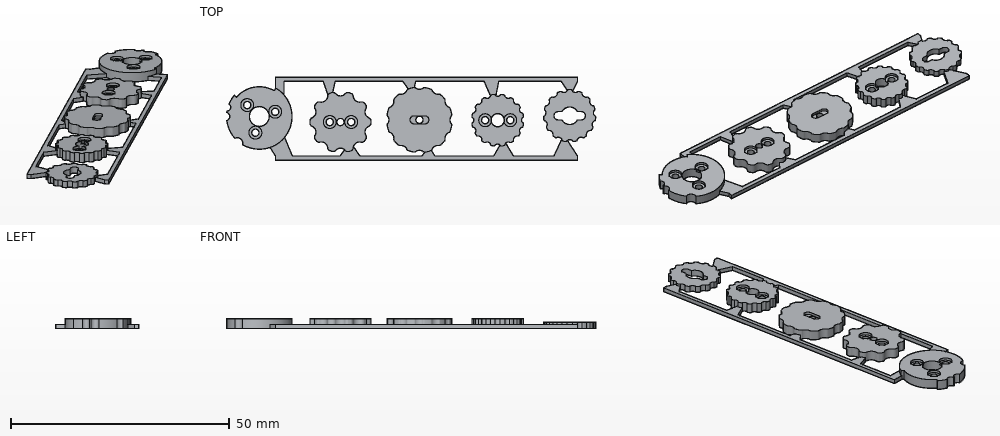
import cadquery as cq
import math

FRAME_THICKNESS = 1.0
WHEEL_THICKNESS = 2.3
THIN_GEAR_THICKNESS = 1.5

FRAME_LENGTH = 69.2
FRAME_WIDTH = 19.1
RAIL_WIDTH = 1.0
FRAME_END = FRAME_LENGTH / 2
RAIL_INNER_Y = FRAME_WIDTH / 2 - RAIL_WIDTH
CORNER_LEG_WIDTH = 2.0
CORNER_LEG_END_Y = 4.65

UPPER_SPRUES = [
    (-23.7, -20.9, -22.65, -21.55, 5.6),
    (-5.4, -2.45, -4.05, -2.9, 6.6),
    (13.2, 16.6, 14.7, 15.9, 5.1),
    (30.85, FRAME_END, 32.4, 33.5, 6.25),
]
LOWER_SPRUES = [
    (-FRAME_END, -30.7, -37.45, -32.5, -4.05),
    (-19.8, -15.2, -18.4, -16.6, -6.6),
    (-1.1, 1.95, 0.25, 1.0, -7.0),
    (15.4, 19.95, 17.1, 18.2, -5.6),
    (29.2, FRAME_END, 31.0, 32.0, -4.6),
]

SCREW_DIAMETER = 1.6
SCREW_HEAD_DIAMETER = 3.0
SCREW_HEAD_DEPTH = 0.6
SLOT_WIDTH = 1.9

DISC_CENTER = (-38.3, 0.5)
DISC_RADIUS = 7.5
DISC_BORE_DIAMETER = 4.5
DISC_SCREW_RADIUS = 3.8
DISC_SCREW_COUNT = 3
DISC_SCREW_START_ANGLE = 16.5
RELIEF_RADIUS = 6.85
RELIEF_START_ANGLE = 60
RELIEF_END_ANGLE = 139.5
DISC_NOTCHES = [(164, 0.85, 7.7), (180, 0.9, 7.7), (230.5, 1.2, 7.9)]

TEN_CENTER = (-19.7, -0.8)
TEN_TEETH = 10
TEN_TIP_RADIUS = 7.0
TEN_ROOT_RADIUS = 6.0
TEN_LAND_SHARE = 0.16
TEN_SCREW_OFFSET = 2.45

TWELVE_CENTER = (-1.6, -0.25)
TWELVE_TEETH = 12
TWELVE_TIP_RADIUS = 7.5
TWELVE_ROOT_RADIUS = 7.0
TWELVE_GAP_SHARE = 0.4
TWELVE_LAND_SHARE = 0.36
TWELVE_SLOT_LENGTH = 4.3
TWELVE_SLOT_DEPTH = 0.6

SIXTEEN_CENTER = (16.3, -0.3)
SIXTEEN_TEETH = 16
SIXTEEN_TIP_RADIUS = 6.0
SIXTEEN_ROOT_RADIUS = 5.5
SIXTEEN_BORE_DIAMETER = 3.0
SIXTEEN_SCREW_OFFSET = 2.9

FIFTEEN_CENTER = (32.8, 0.7)
FIFTEEN_TEETH = 15
FIFTEEN_FIRST_TOOTH = 90
FIFTEEN_TIP_RADIUS = 6.0
FIFTEEN_ROOT_RADIUS = 5.5
FIFTEEN_BORE_DIAMETER = 4.0
FIFTEEN_SLOT_LENGTH = 7.2

EVEN_GAP_SHARE = 0.5
FINE_LAND_SHARE = 0.24
FLANK_BULGE = 0.75


def polar(radius, angle):
    """Point at a radius and an angle in degrees."""
    return (radius * math.cos(math.radians(angle)), radius * math.sin(math.radians(angle)))


def placed(body, center):
    """Move a body from the origin to its place in the frame."""
    return body.translate((center[0], center[1], 0))


def cylinder(diameter, height, x=0.0, y=0.0, bottom=0.0):
    return cq.Workplane("XY").workplane(offset=bottom).center(x, y).circle(diameter / 2).extrude(height)


def cut_screw_hole(body, x, y):
    """Through hole with a counterbore in the top of a full-height wheel."""
    body = body.cut(cylinder(SCREW_DIAMETER, WHEEL_THICKNESS, x, y))
    seat = WHEEL_THICKNESS - SCREW_HEAD_DEPTH
    return body.cut(cylinder(SCREW_HEAD_DIAMETER, SCREW_HEAD_DEPTH, x, y, seat))


def gear(teeth, tip_radius, root_radius, first_tooth, gap_share, land_share, thickness):
    """Gear with hollow round gaps and teeth that have a land between two bulging flanks."""
    pitch = 360 / teeth
    half_tooth = pitch * (1 - gap_share) / 2
    half_land = pitch * land_share / 2
    foot_radius = (tip_radius + root_radius) / 2
    bulge_radius = foot_radius + FLANK_BULGE * (tip_radius - foot_radius)
    bulge_angle = (half_tooth + half_land) / 2
    outline = cq.Workplane("XY").moveTo(*polar(foot_radius, first_tooth - half_tooth))
    for index in range(teeth):
        tooth = first_tooth + index * pitch
        next_foot = polar(foot_radius, tooth + pitch - half_tooth)
        outline = outline.threePointArc(
            polar(bulge_radius, tooth - bulge_angle), polar(tip_radius, tooth - half_land)
        )
        outline = outline.threePointArc(polar(tip_radius, tooth), polar(tip_radius, tooth + half_land))
        outline = outline.threePointArc(
            polar(bulge_radius, tooth + bulge_angle), polar(foot_radius, tooth + half_tooth)
        )
        outline = outline.threePointArc(polar(root_radius, tooth + pitch / 2), next_foot)
    return outline.close().extrude(thickness)


def sprue(base_left, base_right, tip_left, tip_right, tip_y):
    """Tapered web from a rail's inner edge into a wheel."""
    base_y = math.copysign(RAIL_INNER_Y, tip_y)
    corners = [(base_left, base_y), (base_right, base_y), (tip_right, tip_y), (tip_left, tip_y)]
    return cq.Workplane("XY").polyline(corners).close().extrude(FRAME_THICKNESS)


def frame():
    rail_y = (FRAME_WIDTH - RAIL_WIDTH) / 2
    rails = cq.Workplane("XY").pushPoints([(0, rail_y), (0, -rail_y)])
    body = rails.rect(FRAME_LENGTH, RAIL_WIDTH).extrude(FRAME_THICKNESS)
    leg = cq.Workplane("XY").moveTo(-FRAME_END, CORNER_LEG_END_Y)
    leg = leg.lineTo(-FRAME_END + CORNER_LEG_WIDTH, CORNER_LEG_END_Y)
    leg = leg.lineTo(-FRAME_END + CORNER_LEG_WIDTH, RAIL_INNER_Y)
    leg = leg.lineTo(-FRAME_END, RAIL_INNER_Y).close()
    body = body.union(leg.extrude(FRAME_THICKNESS))
    for sizes in UPPER_SPRUES + LOWER_SPRUES:
        body = body.union(sprue(*sizes))
    return body


def notched_disc():
    middle_angle = (RELIEF_START_ANGLE + RELIEF_END_ANGLE) / 2
    outline = cq.Workplane("XY").moveTo(*polar(RELIEF_RADIUS, RELIEF_START_ANGLE))
    outline = outline.threePointArc(
        polar(RELIEF_RADIUS, middle_angle), polar(RELIEF_RADIUS, RELIEF_END_ANGLE)
    )
    outline = outline.lineTo(*polar(DISC_RADIUS, RELIEF_END_ANGLE))
    outline = outline.threePointArc(
        polar(DISC_RADIUS, middle_angle + 180), polar(DISC_RADIUS, RELIEF_START_ANGLE)
    )
    body = outline.close().extrude(WHEEL_THICKNESS)
    for angle, radius, distance in DISC_NOTCHES:
        body = body.cut(cylinder(2 * radius, WHEEL_THICKNESS, *polar(distance, angle)))
    body = body.cut(cylinder(DISC_BORE_DIAMETER, WHEEL_THICKNESS))
    for index in range(DISC_SCREW_COUNT):
        angle = DISC_SCREW_START_ANGLE + index * 360 / DISC_SCREW_COUNT
        body = cut_screw_hole(body, *polar(DISC_SCREW_RADIUS, angle))
    return body


def ten_tooth_gear():
    body = gear(
        teeth=TEN_TEETH,
        tip_radius=TEN_TIP_RADIUS,
        root_radius=TEN_ROOT_RADIUS,
        first_tooth=0,
        gap_share=EVEN_GAP_SHARE,
        land_share=TEN_LAND_SHARE,
        thickness=WHEEL_THICKNESS,
    )
    body = body.cut(cylinder(SCREW_DIAMETER, WHEEL_THICKNESS))
    for x in (-TEN_SCREW_OFFSET, TEN_SCREW_OFFSET):
        body = cut_screw_hole(body, x, 0)
    return body


def twelve_tooth_gear():
    body = gear(
        teeth=TWELVE_TEETH,
        tip_radius=TWELVE_TIP_RADIUS,
        root_radius=TWELVE_ROOT_RADIUS,
        first_tooth=360 / TWELVE_TEETH / 2,
        gap_share=TWELVE_GAP_SHARE,
        land_share=TWELVE_LAND_SHARE,
        thickness=WHEEL_THICKNESS,
    )
    body = body.cut(cylinder(SCREW_DIAMETER, WHEEL_THICKNESS))
    floor = cq.Workplane("XY").workplane(offset=WHEEL_THICKNESS - TWELVE_SLOT_DEPTH)
    return body.cut(floor.slot2D(TWELVE_SLOT_LENGTH, SLOT_WIDTH).extrude(TWELVE_SLOT_DEPTH))


def sixteen_tooth_gear():
    body = gear(
        teeth=SIXTEEN_TEETH,
        tip_radius=SIXTEEN_TIP_RADIUS,
        root_radius=SIXTEEN_ROOT_RADIUS,
        first_tooth=360 / SIXTEEN_TEETH / 2,
        gap_share=EVEN_GAP_SHARE,
        land_share=FINE_LAND_SHARE,
        thickness=WHEEL_THICKNESS,
    )
    body = body.cut(cylinder(SIXTEEN_BORE_DIAMETER, WHEEL_THICKNESS))
    for x in (-SIXTEEN_SCREW_OFFSET, SIXTEEN_SCREW_OFFSET):
        body = cut_screw_hole(body, x, 0)
    return body


def fifteen_tooth_gear():
    body = gear(
        teeth=FIFTEEN_TEETH,
        tip_radius=FIFTEEN_TIP_RADIUS,
        root_radius=FIFTEEN_ROOT_RADIUS,
        first_tooth=FIFTEEN_FIRST_TOOTH,
        gap_share=EVEN_GAP_SHARE,
        land_share=FINE_LAND_SHARE,
        thickness=THIN_GEAR_THICKNESS,
    )
    body = body.cut(cylinder(FIFTEEN_BORE_DIAMETER, THIN_GEAR_THICKNESS))
    slot = cq.Workplane("XY").slot2D(FIFTEEN_SLOT_LENGTH, SLOT_WIDTH)
    return body.cut(slot.extrude(THIN_GEAR_THICKNESS))


result = frame()
result = result.union(placed(notched_disc(), DISC_CENTER))
result = result.union(placed(ten_tooth_gear(), TEN_CENTER))
result = result.union(placed(twelve_tooth_gear(), TWELVE_CENTER))
result = result.union(placed(sixteen_tooth_gear(), SIXTEEN_CENTER))
result = result.union(placed(fifteen_tooth_gear(), FIFTEEN_CENTER))